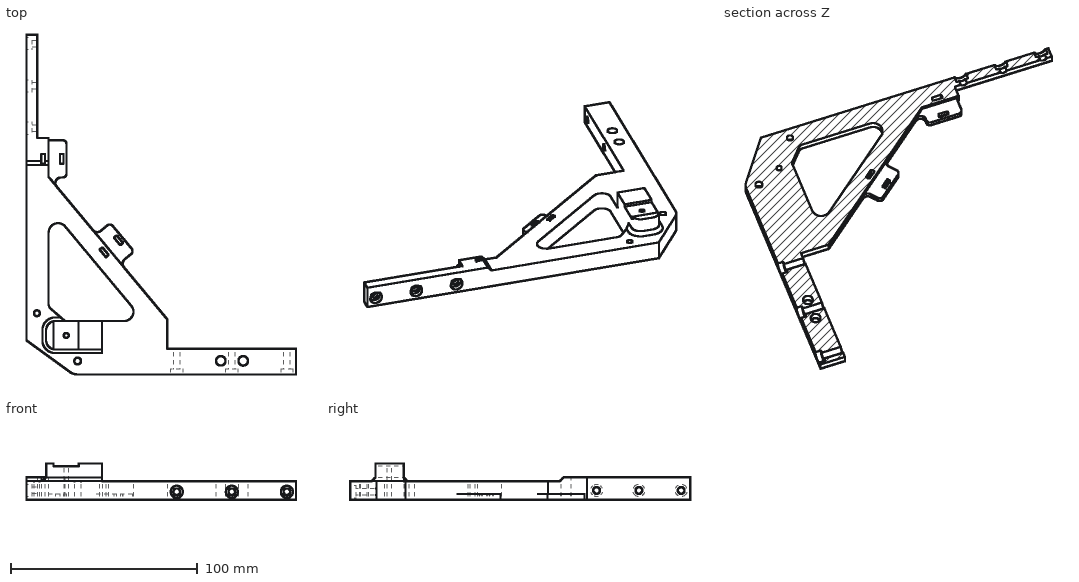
import cadquery as cq
import math

LENGTH_X = 144.4
LENGTH_Y = 182.21
PLATE_HEIGHT = 10.0
FOOT_WIDTH = 14.0
FOOT_START_X = 75.5
WEB_SHOULDER_Y = 29.6
BLOCK_WIDTH = 11.9
DIAGONAL_START_Y = 105.9
CORNER_CUT_X = 25.2
CORNER_CUT_Y = 18.3
CORNER_FILLET = 7.5

STEP_HEIGHT = 2.2
ARM_HEIGHT = PLATE_HEIGHT + STEP_HEIGHT
ARM_WIDTH = 5.8
BLOCK_END_Y = 126.9
RAMP_START_Y = 112.3

POCKET_FLOOR = 0.5
POCKET_LEFT = BLOCK_WIDTH
POCKET_BOTTOM = 28.7
POCKET_CUT_X = 20.6
POCKET_CUT_Y = 36.3
POCKET_WALL = 10.2
POCKET_FILLET = 5.0
POCKET_CUT_FILLET = 3.0

BOSS_LEFT = 10.5
BOSS_RIGHT = 40.5
BOSS_FRONT = 13.5
BOSS_BACK = POCKET_BOTTOM
BOSS_TOP = 19.5
BOSS_FILLET = 5.0
FLARE = 2.0
FLARE_ANGLE = 45
NOTCH_DEPTH = 1.5
NOTCH_LEFT = 14.6
NOTCH_RIGHT = 27.9
BOSS_HOLE = (21.3, 21.0)
BOSS_HOLE_DIAMETER = 2.5

TAB_THICKNESS = 3.0
TAB_LENGTH = 20.0
TAB_REACH = 9.6
TAB_CORNER = 2.0
TAB_ROOT_FILLET = 3.0
SLOT_WIDTH = 1.8
SLOT_LENGTH = 5.2
SLOT_INSET = 3.0
SLOT_PITCH = 10.0
BLOCK_TAB_Y = 115.6
DIAGONAL_TAB_DISTANCE = 50.0

PIN_HOLES = [(5.6, 32.9, 3.0), (27.4, 7.3, 3.5)]
FOOT_HOLE_XS = [104.1, 116.1]
FOOT_HOLE_Y = 7.4
FOOT_HOLE_DIAMETER = 5.0
SIDE_HOLE_DIAMETER = 3.5
SIDE_HOLE_HEAD = 6.5
SIDE_HOLE_HEAD_DEPTH = 3.0
FOOT_SIDE_HOLE_Z = 4.3
ARM_SIDE_HOLE_Z = 5.0
SIDE_HOLE_COUNT = 3
END_HOLE_INSET = 4.9
FOOT_SIDE_PITCH = 29.5
ARM_SIDE_PITCH = 22.65

DIAGONAL_START = cq.Vector(BLOCK_WIDTH, DIAGONAL_START_Y, 0)
DIAGONAL_END = cq.Vector(FOOT_START_X, WEB_SHOULDER_Y, 0)
DIAGONAL_DIRECTION = (DIAGONAL_END - DIAGONAL_START).normalized()
DIAGONAL_ANGLE = math.degrees(math.atan2(DIAGONAL_DIRECTION.y, DIAGONAL_DIRECTION.x))


def plate_outline(height):
    """Plate outline up to the block end, extruded from Z = 0."""
    points = [
        (CORNER_CUT_X, 0),
        (LENGTH_X, 0),
        (LENGTH_X, FOOT_WIDTH),
        (FOOT_START_X, FOOT_WIDTH),
        (FOOT_START_X, WEB_SHOULDER_Y),
        (BLOCK_WIDTH, DIAGONAL_START_Y),
        (BLOCK_WIDTH, BLOCK_END_Y),
        (0, BLOCK_END_Y),
        (0, CORNER_CUT_Y),
    ]
    plate = cq.Workplane("XY").polyline(points).close().extrude(height)
    corner = cq.selectors.NearestToPointSelector((CORNER_CUT_X, 0, height / 2))
    return plate.edges(corner).fillet(CORNER_FILLET)


def raised_arm():
    """Thicker block with a ramp, continued by the narrow bar along +Y."""
    profile = [
        (RAMP_START_Y, 0),
        (RAMP_START_Y, PLATE_HEIGHT),
        (RAMP_START_Y + STEP_HEIGHT, ARM_HEIGHT),
        (BLOCK_END_Y, ARM_HEIGHT),
        (BLOCK_END_Y, 0),
    ]
    block = cq.Workplane("YZ").polyline(profile).close().extrude(BLOCK_WIDTH)
    bar_length = LENGTH_Y - RAMP_START_Y - STEP_HEIGHT
    bar = cq.Workplane("XY").box(ARM_WIDTH, bar_length, ARM_HEIGHT, centered=False)
    return block.union(bar.translate((0, LENGTH_Y - bar_length, 0)))


def edge_frame(origin, edge_angle):
    """Workplane on Z = 0 whose x axis follows the edge and y axis points outward."""
    return cq.Workplane("XY").transformed(offset=origin, rotate=(0, 0, edge_angle))


def tab_frames():
    on_block = edge_frame(cq.Vector(BLOCK_WIDTH, BLOCK_TAB_Y, 0), -90)
    diagonal_point = DIAGONAL_START + DIAGONAL_DIRECTION * DIAGONAL_TAB_DISTANCE
    on_diagonal = edge_frame(diagonal_point, DIAGONAL_ANGLE)
    return [on_block, on_diagonal]


def tab(frame):
    """Thin tab overlapping the plate, with rounded outer corners."""
    depth = 2 * TAB_REACH
    blank = frame.rect(TAB_LENGTH, depth).extrude(TAB_THICKNESS)
    for side in (-1, 1):
        tip = frame.plane.toWorldCoords((side * TAB_LENGTH / 2, TAB_REACH, TAB_THICKNESS / 2))
        blank = blank.edges(cq.selectors.NearestToPointSelector(tip)).fillet(TAB_CORNER)
    return blank


def tab_layer():
    """Bottom layer of the part carrying both tabs and their root fillets."""
    layer = plate_outline(TAB_THICKNESS)
    block_frame, diagonal_frame = tab_frames()
    layer = layer.union(tab(block_frame)).union(tab(diagonal_frame))

    block_tab_end = BLOCK_TAB_Y - TAB_LENGTH / 2
    along = (block_tab_end - DIAGONAL_START_Y) / DIAGONAL_DIRECTION.y
    block_root = DIAGONAL_START + DIAGONAL_DIRECTION * along
    roots = [(block_root.x, block_root.y, TAB_THICKNESS / 2)]
    for side in (-1, 1):
        roots.append(diagonal_frame.plane.toWorldCoords((side * TAB_LENGTH / 2, 0, TAB_THICKNESS / 2)))
    for root in roots:
        layer = layer.edges(cq.selectors.NearestToPointSelector(root)).fillet(TAB_ROOT_FILLET)
    return layer


def tie_slots(frame):
    """Pair of through slots, one on each side of the edge."""
    centres = [(0, -SLOT_INSET), (0, SLOT_PITCH - SLOT_INSET)]
    return frame.pushPoints(centres).rect(SLOT_LENGTH, SLOT_WIDTH).extrude(ARM_HEIGHT)


def boss_footprint(margin, right):
    """Boss plan extruded from the plate top, grown by a margin on three sides."""
    left = BOSS_LEFT - margin
    front = BOSS_FRONT - margin
    back = BOSS_BACK + margin
    radius = BOSS_FILLET + margin
    diagonal = radius * math.sqrt(0.5)
    return (
        cq.Workplane("XY", origin=(0, 0, PLATE_HEIGHT))
        .moveTo(right, front)
        .lineTo(right, back)
        .lineTo(left + radius, back)
        .threePointArc((left + radius - diagonal, back - radius + diagonal), (left, back - radius))
        .lineTo(left, front + radius)
        .threePointArc((left + radius - diagonal, front + radius - diagonal), (left + radius, front))
        .close()
    )


def boss():
    body = boss_footprint(0, BOSS_RIGHT).extrude(BOSS_TOP - PLATE_HEIGHT)
    notch = cq.Workplane("XY").box(
        NOTCH_RIGHT - NOTCH_LEFT, BOSS_BACK - BOSS_FRONT, NOTCH_DEPTH, centered=False
    )
    return body.cut(notch.translate((NOTCH_LEFT, BOSS_FRONT, BOSS_TOP - NOTCH_DEPTH)))


def boss_flare():
    """Sloping skirt around the boss, ending flush with its +X face."""
    skirt = boss_footprint(FLARE, BOSS_RIGHT + 2 * FLARE).extrude(FLARE, taper=FLARE_ANGLE)
    keep = cq.Workplane("XY").box(BOSS_RIGHT, LENGTH_Y, BOSS_TOP, centered=False)
    return skirt.intersect(keep)


def pocket():
    """Triangular pocket with one cut corner; its long side follows the diagonal edge."""
    outward = cq.Vector(-DIAGONAL_DIRECTION.y, DIAGONAL_DIRECTION.x, 0)
    wall_start = DIAGONAL_START - outward * POCKET_WALL
    slope = DIAGONAL_DIRECTION.y / DIAGONAL_DIRECTION.x
    top_y = wall_start.y + slope * (POCKET_LEFT - wall_start.x)
    right_x = wall_start.x + (POCKET_BOTTOM - wall_start.y) / slope
    points = [
        (POCKET_CUT_X, POCKET_BOTTOM),
        (right_x, POCKET_BOTTOM),
        (POCKET_LEFT, top_y),
        (POCKET_LEFT, POCKET_CUT_Y),
    ]
    depth = ARM_HEIGHT - POCKET_FLOOR
    cutter = (
        cq.Workplane("XY", origin=(0, 0, POCKET_FLOOR)).polyline(points).close().extrude(depth)
    )
    middle = POCKET_FLOOR + depth / 2
    rounded = [
        (right_x, POCKET_BOTTOM, POCKET_FILLET),
        (POCKET_LEFT, top_y, POCKET_FILLET),
        (POCKET_LEFT, POCKET_CUT_Y, POCKET_CUT_FILLET),
    ]
    for x, y, radius in rounded:
        cutter = cutter.edges(cq.selectors.NearestToPointSelector((x, y, middle))).fillet(radius)
    return cutter


def vertical_hole(x, y, diameter):
    return cq.Workplane("XY").center(x, y).circle(diameter / 2).extrude(BOSS_TOP)


def side_hole(entry, direction, depth):
    """Counterbored through hole entered horizontally."""
    drill = cq.Solid.makeCylinder(SIDE_HOLE_DIAMETER / 2, depth, entry, direction)
    head = cq.Solid.makeCylinder(SIDE_HOLE_HEAD / 2, SIDE_HOLE_HEAD_DEPTH, entry, direction)
    return cq.Workplane(drill).union(cq.Workplane(head))


def holes():
    cutters = [vertical_hole(x, y, diameter) for x, y, diameter in PIN_HOLES]
    cutters += [vertical_hole(x, FOOT_HOLE_Y, FOOT_HOLE_DIAMETER) for x in FOOT_HOLE_XS]
    cutters.append(vertical_hole(*BOSS_HOLE, BOSS_HOLE_DIAMETER))
    for index in range(SIDE_HOLE_COUNT):
        x = LENGTH_X - END_HOLE_INSET - index * FOOT_SIDE_PITCH
        y = LENGTH_Y - END_HOLE_INSET - index * ARM_SIDE_PITCH
        cutters.append(side_hole(cq.Vector(x, 0, FOOT_SIDE_HOLE_Z), cq.Vector(0, 1, 0), FOOT_WIDTH))
        cutters.append(side_hole(cq.Vector(0, y, ARM_SIDE_HOLE_Z), cq.Vector(1, 0, 0), ARM_WIDTH))
    return cutters


result = plate_outline(PLATE_HEIGHT).union(raised_arm()).union(tab_layer()).union(boss_flare())
result = result.cut(pocket()).union(boss())
for cutter in holes() + [tie_slots(frame) for frame in tab_frames()]:
    result = result.cut(cutter)